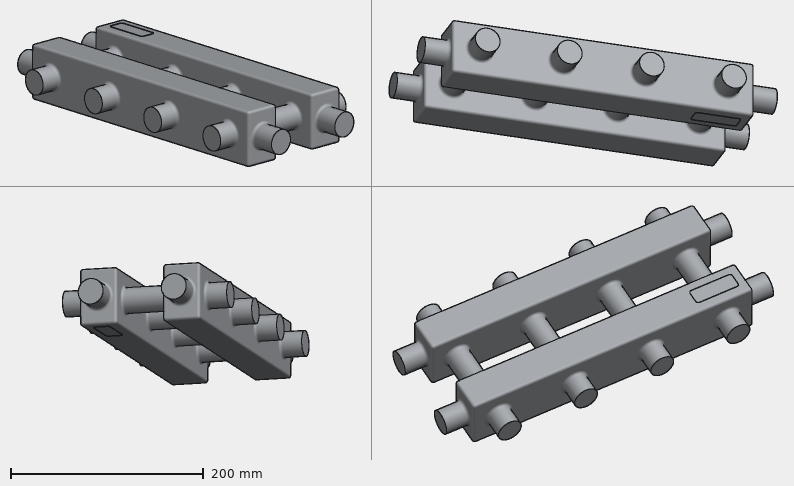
import cadquery as cq
import math

BAR_LENGTH = 330.0
BAR_WIDTH = 40.0
BAR_HEIGHT = 60.0
BAR_EDGE_RADIUS = 3.0
BAR_PITCH = 90.0

PIPE_DIAMETER = 27.0
PIPE_COUNT = 4
PIPE_PITCH = 90.0
END_STUB_LENGTH = 28.0
SIDE_STUB_LENGTH = 24.0
WELD_SIZE = 3.0

PLATE_LENGTH = 50.0
PLATE_WIDTH = 18.0
PLATE_THICKNESS = 0.5
PLATE_CORNER_RADIUS = 3.0
PLATE_END_MARGIN = 10.0

REAR_Y = BAR_PITCH / 2
BAR_CENTRES_Y = (-REAR_Y, REAR_Y)
GAP_LENGTH = BAR_PITCH - BAR_WIDTH
OUTER_FACE_Y = REAR_Y + BAR_WIDTH / 2
INNER_FACE_Y = REAR_Y - BAR_WIDTH / 2
END_FACE_X = BAR_LENGTH / 2
FIRST_PIPE_X = -PIPE_PITCH * (PIPE_COUNT - 1) / 2
PLATE_X = -END_FACE_X + PLATE_END_MARGIN + PLATE_LENGTH / 2

X_AXIS = cq.Vector(1, 0, 0)
Y_AXIS = cq.Vector(0, 1, 0)


def bar(y):
    """Box with all edges rounded, centred at the given Y."""
    box = cq.Workplane("XY").box(BAR_LENGTH, BAR_WIDTH, BAR_HEIGHT)
    return box.edges().fillet(BAR_EDGE_RADIUS).translate((0, y, 0))


def pipe(start, direction, length):
    """Solid round pipe that leaves a bar face at the start point."""
    return cq.Workplane(cq.Solid.makeCylinder(PIPE_DIAMETER / 2, length, start, direction))


def weld(start, direction):
    """Concave weld fillet around a pipe, seated on the bar face at the start point."""
    pipe_radius = PIPE_DIAMETER / 2
    arc_offset = WELD_SIZE * (1 - math.cos(math.pi / 4))
    return (
        cq.Workplane(cq.Plane(start, normal=direction, xDir=(0, 0, 1)).rotated((90, 0, 0)))
        .moveTo(0, 0)
        .lineTo(pipe_radius + WELD_SIZE, 0)
        .threePointArc((pipe_radius + arc_offset, arc_offset), (pipe_radius, WELD_SIZE))
        .lineTo(0, WELD_SIZE)
        .close()
        .revolve(360, (0, 0), (0, 1))
    )


def stub(start, direction, length):
    """Pipe stub with its weld fillet at the bar face."""
    return pipe(start, direction, length).union(weld(start, direction))


def link_pipe(x):
    """Pipe joining the two bars, with a weld fillet at each end."""
    front = cq.Vector(x, -INNER_FACE_Y, 0)
    rear = cq.Vector(x, INNER_FACE_Y, 0)
    return stub(front, Y_AXIS, GAP_LENGTH).union(weld(rear, -Y_AXIS))


def plate(side):
    """Raised plate on the top (side = 1) or bottom (side = -1) of the rear bar."""
    centre_z = side * (BAR_HEIGHT + PLATE_THICKNESS) / 2
    sheet = cq.Workplane("XY").box(PLATE_LENGTH, PLATE_WIDTH, PLATE_THICKNESS)
    return sheet.edges("|Z").fillet(PLATE_CORNER_RADIUS).translate((PLATE_X, REAR_Y, centre_z))


result = bar(BAR_CENTRES_Y[0]).union(bar(BAR_CENTRES_Y[1]))

for pipe_index in range(PIPE_COUNT):
    pipe_x = FIRST_PIPE_X + pipe_index * PIPE_PITCH
    result = result.union(link_pipe(pipe_x))
    for side in (-1, 1):
        start = cq.Vector(pipe_x, side * OUTER_FACE_Y, 0)
        result = result.union(stub(start, Y_AXIS * side, SIDE_STUB_LENGTH))

for bar_y in BAR_CENTRES_Y:
    for side in (-1, 1):
        start = cq.Vector(side * END_FACE_X, bar_y, 0)
        result = result.union(stub(start, X_AXIS * side, END_STUB_LENGTH))

for side in (-1, 1):
    result = result.union(plate(side))